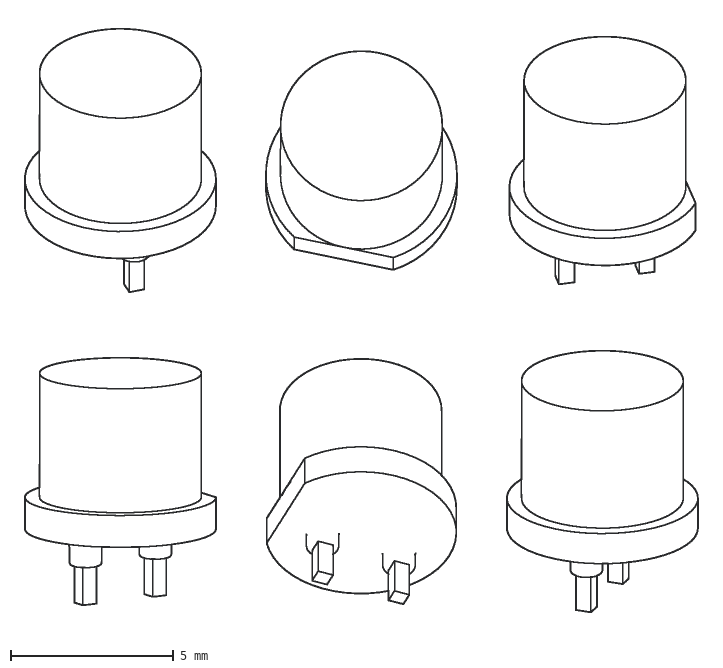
import cadquery as cq

total_height = 7.1
flange_diameter = 5.9
body_diameter = 5.0
flange_thickness = 1.0
collar_diameter = 1.0
collar_height = 1.0
collar_edge_radius = 0.1
flare_radius = 0.5
lead_width = 0.5
lead_length = 1.2
lead_pitch = 2.54

body_radius = body_diameter / 2
flange_radius = flange_diameter / 2
collar_radius = collar_diameter / 2
body_top = total_height - collar_height - lead_length


def make_flange():
    """Round flange with one flat, tangent to the body on the -X side."""
    disc = cq.Workplane("XY").circle(flange_radius).extrude(flange_thickness)
    keep_width = body_radius + flange_radius
    keep = cq.Workplane("XY").box(
        keep_width, flange_diameter, flange_thickness, centered=(False, True, False)
    )
    return disc.intersect(keep.translate((-body_radius, 0, 0)))


def make_body():
    """Plain cylinder standing on the flange."""
    return cq.Workplane("XY").circle(body_radius).extrude(body_top)


def make_collar():
    """Round collar under the flange, flared at its root and rounded at its lower edge."""
    collar = (
        cq.Workplane("XZ")
        .moveTo(0, 0)
        .lineTo(collar_radius + flare_radius, 0)
        .radiusArc((collar_radius, -flare_radius), -flare_radius)
        .lineTo(collar_radius, -collar_height)
        .lineTo(0, -collar_height)
        .close()
        .revolve(360, (0, 0, 0), (0, 1, 0))
    )
    return collar.faces("<Z").edges().fillet(collar_edge_radius)


def make_lead():
    """Square lead running from the flange, through the collar, to the bottom."""
    return cq.Workplane("XY").rect(lead_width, lead_width).extrude(-collar_height - lead_length)


result = make_flange().union(make_body())
for lead_x in (-lead_pitch / 2, lead_pitch / 2):
    terminal = make_collar().union(make_lead())
    result = result.union(terminal.translate((lead_x, 0, 0)))